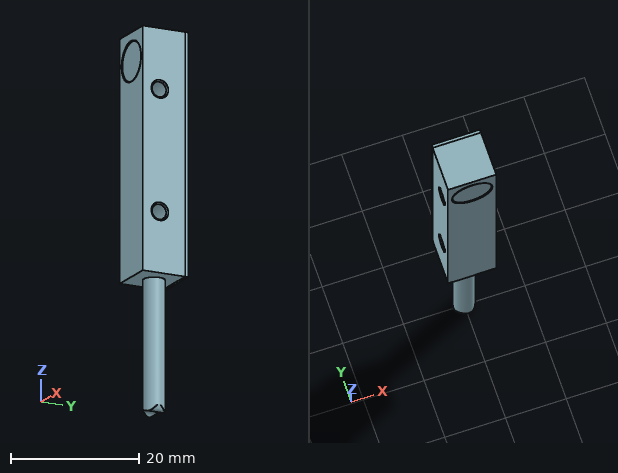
import cadquery as cq

total_length = 61.9
width = 8.0
housing_length = 40.0
housing_bottom = total_length - housing_length
cover_thickness = 0.55
front_y = -width / 2
back_y = width / 2
cover_y = back_y - cover_thickness

face_diameter = 6.7
face_depth = 0.1
face_rim_taper = 45
face_from_top = 4.75

hole_diameter = 2.5
hole_chamfer = 0.25
hole_from_front = 3.0
hole_spacing = 20.0
upper_hole_from_top = 10.0

cable_diameter = 3.5
cable_radius = cable_diameter / 2
crest_x = -0.8
crest_z = 0.75
trough_x = 0.9
trough_z = 0.2
tear_right_z = 1.25


def make_block(y_start, y_end):
    """Full-width block as tall as the housing, between two Y positions."""
    return (
        cq.Workplane("XY")
        .box(width, y_end - y_start, housing_length, centered=(True, False, False))
        .translate((0, y_start, housing_bottom))
    )


def make_sensing_recess():
    """Shallow round pocket that narrows toward its floor."""
    plane = cq.Plane(
        origin=(0, front_y, total_length - face_from_top), xDir=(1, 0, 0), normal=(0, 1, 0)
    )
    return cq.Workplane(plane).circle(face_diameter / 2).extrude(face_depth, taper=face_rim_taper)


def make_mounting_hole(z):
    """Through hole along X that widens at both mouths."""
    half_width = width / 2
    radius = hole_diameter / 2
    mouth_radius = radius + hole_chamfer
    axis_y = front_y + hole_from_front
    profile = [
        (-half_width, 0),
        (-half_width, mouth_radius),
        (-half_width + hole_chamfer, radius),
        (half_width - hole_chamfer, radius),
        (half_width, mouth_radius),
        (half_width, 0),
    ]
    return (
        cq.Workplane("XY")
        .polyline(profile)
        .close()
        .revolve(360, (0, 0, 0), (1, 0, 0))
        .translate((0, axis_y, z))
    )


def make_housing():
    housing = make_block(front_y, cover_y).cut(make_sensing_recess())
    upper_hole_z = total_length - upper_hole_from_top
    for z in (upper_hole_z, upper_hole_z - hole_spacing):
        housing = housing.cut(make_mounting_hole(z))
    return housing


def make_cover():
    return make_block(cover_y, back_y)


def make_cable():
    """Wave-ended slab through Y, trimmed to the round section of the cable."""
    wave = [(crest_x, crest_z), (trough_x, trough_z), (cable_radius, tear_right_z)]
    slab = (
        cq.Workplane("XZ")
        .moveTo(-cable_radius, 0)
        .spline(wave, includeCurrent=True)
        .lineTo(cable_radius, housing_bottom)
        .lineTo(-cable_radius, housing_bottom)
        .close()
        .extrude(cable_radius, both=True)
    )
    rod = cq.Workplane("XY").circle(cable_radius).extrude(housing_bottom)
    return rod.intersect(slab)


housing = make_housing()
cover = make_cover()
cable = make_cable()

result = cq.Compound.makeCompound([housing.val(), cover.val(), cable.val()])